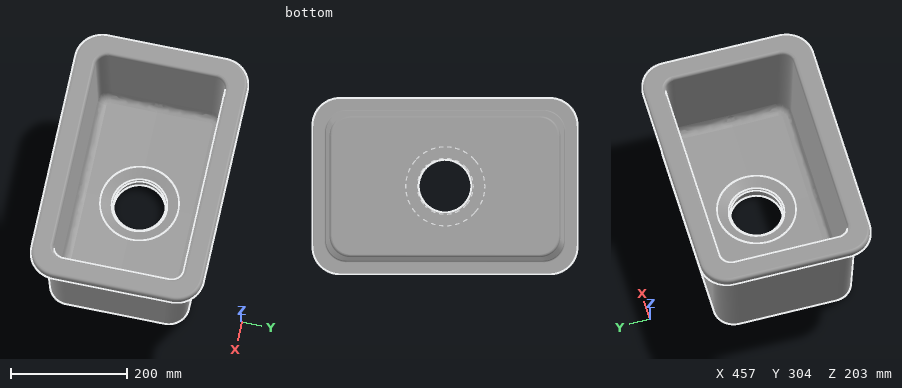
import cadquery as cq
import math

RIM_LENGTH = 457.0
RIM_WIDTH = 304.0
HEIGHT = 203.0
BOTTOM_Z = -HEIGHT

RIM_THICKNESS = 15.5
RIM_CORNER_RADIUS = 48.0
RIM_TOP_ROUND = 6.5
RIM_BOTTOM_ROUND = 2.7

DRAFT_ANGLE = 2.0
WALL_INSET = 38.0
WALL_THICKNESS = 15.0
INNER_CORNER_RADIUS = 20.5
LIP_ROUND = 6.0
FLOOR_ROUND = 15.5
BASE_ROUND = 4.5
NECK_ROUND = 2.7

INNER_LENGTH = RIM_LENGTH - 2 * WALL_INSET
INNER_WIDTH = RIM_WIDTH - 2 * WALL_INSET
OUTER_LENGTH = INNER_LENGTH + 2 * WALL_THICKNESS
OUTER_WIDTH = INNER_WIDTH + 2 * WALL_THICKNESS
OUTER_CORNER_RADIUS = INNER_CORNER_RADIUS + WALL_THICKNESS

DRAIN_MOUTH_DIAMETER = 136.2
DRAIN_SEAT_DIAMETER = 96.5
DRAIN_HOLE_DIAMETER = 90.0
DRAIN_MOUTH_HEIGHT = 29.0
DRAIN_CONE_DEPTH = 8.2

FLOOR_FALL_ANGLE = 1.0
FLOOR_LOW_HEIGHT = 28.5
FLOOR_CREASE_Y = -5.5
FLOOR_LOW_REACH = 0.2 * DRAIN_HOLE_DIAMETER
FLOOR_SLOPE_RISE = 9.0

SELECT_MARGIN = 0.5
FLOOR_MIDDLE_SHARE = 0.8


def region(length, width, low_z, high_z):
    """Selector for whatever is centred in a box around the Z axis."""
    return cq.selectors.BoxSelector(
        (-length / 2, -width / 2, low_z),
        (length / 2, width / 2, high_z),
    )


def junction_ring(length, width, z):
    """Selector for the edges around a bowl outline at height z."""
    return region(
        length + SELECT_MARGIN,
        width + SELECT_MARGIN,
        z - SELECT_MARGIN,
        z + SELECT_MARGIN,
    )


def drafted_block(length, width, corner_radius):
    """Block hanging from z = 0 that narrows downwards, with rounded upright corners."""
    block = cq.Workplane("XY").rect(length, width).extrude(-HEIGHT, taper=DRAFT_ANGLE)
    return block.edges("not(#Z)").fillet(corner_radius)


def rim():
    slab = cq.Workplane("XY").rect(RIM_LENGTH, RIM_WIDTH).extrude(-RIM_THICKNESS)
    slab = slab.edges("|Z").fillet(RIM_CORNER_RADIUS)
    slab = slab.faces(">Z").edges().fillet(RIM_TOP_ROUND)
    return slab.faces("<Z").edges().fillet(RIM_BOTTOM_ROUND)


def bowl_outside():
    block = drafted_block(OUTER_LENGTH, OUTER_WIDTH, OUTER_CORNER_RADIUS)
    return block.faces("<Z").edges().fillet(BASE_ROUND)


def rhombus(plane, reach):
    corners = [(reach, 0), (0, reach), (-reach, 0), (0, -reach)]
    return plane.polyline(corners).close()


def space_above_floor():
    """Shallow inverted pyramid, whose sides are the floor quarters, under a tall block."""
    reach = FLOOR_LOW_REACH + FLOOR_SLOPE_RISE / math.tan(math.radians(FLOOR_FALL_ANGLE))
    low_plane = cq.Workplane("XY", origin=(0, FLOOR_CREASE_Y, BOTTOM_Z + FLOOR_LOW_HEIGHT))
    low_outline = rhombus(low_plane, FLOOR_LOW_REACH)
    high_outline = rhombus(low_outline.workplane(offset=FLOOR_SLOPE_RISE), reach)
    pyramid = high_outline.loft(ruled=True)
    block = rhombus(low_plane.workplane(offset=FLOOR_SLOPE_RISE), reach).extrude(HEIGHT)
    return pyramid.union(block)


def cavity():
    space = drafted_block(INNER_LENGTH, INNER_WIDTH, INNER_CORNER_RADIUS)
    space = space.intersect(space_above_floor())
    floor_top_z = BOTTOM_Z + FLOOR_LOW_HEIGHT + FLOOR_SLOPE_RISE
    floor_edges = region(INNER_LENGTH, INNER_WIDTH, BOTTOM_Z, floor_top_z)
    floor_middle = region(
        FLOOR_MIDDLE_SHARE * INNER_LENGTH,
        FLOOR_MIDDLE_SHARE * INNER_WIDTH,
        BOTTOM_Z,
        floor_top_z,
    )
    return space.edges(floor_edges - floor_middle).fillet(FLOOR_ROUND)


def drain():
    """Round mouth in the floor, a cone below it, and a through hole with a chamfered edge."""
    mouth_radius = DRAIN_MOUTH_DIAMETER / 2
    seat_radius = DRAIN_SEAT_DIAMETER / 2
    hole_radius = DRAIN_HOLE_DIAMETER / 2
    mouth_z = BOTTOM_Z + DRAIN_MOUTH_HEIGHT
    seat_z = mouth_z - DRAIN_CONE_DEPTH
    hole_top_z = seat_z - (seat_radius - hole_radius)
    profile = [
        (0, BOTTOM_Z),
        (hole_radius, BOTTOM_Z),
        (hole_radius, hole_top_z),
        (seat_radius, seat_z),
        (mouth_radius, mouth_z),
        (mouth_radius, 0),
        (0, 0),
    ]
    return cq.Workplane("XZ").polyline(profile).close().revolve(360, (0, 0), (0, 1))


sink = rim().union(bowl_outside())
sink = sink.edges(junction_ring(OUTER_LENGTH, OUTER_WIDTH, -RIM_THICKNESS)).fillet(NECK_ROUND)
sink = sink.cut(cavity())
sink = sink.edges(junction_ring(INNER_LENGTH, INNER_WIDTH, 0)).fillet(LIP_ROUND)
result = sink.cut(drain())